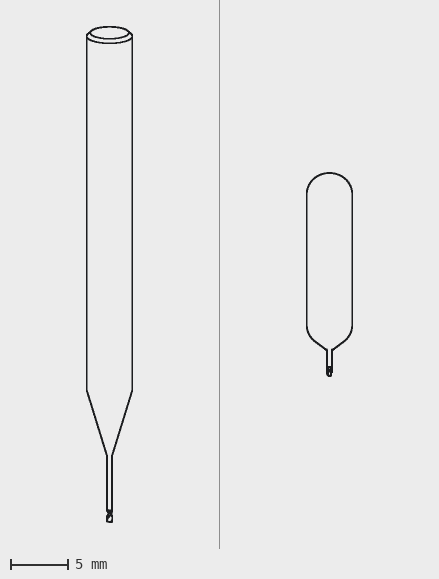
import cadquery as cq
import math

overall_length = 45.0
shank_diameter = 4.0
shank_chamfer = 0.3
cone_top_z = 12.1
neck_top_z = 6.05
neck_diameter = 0.45

cutter_length = 1.1
cutter_diameter = 0.5
web_thickness = 0.22
quarter_turn_rise = 0.55


def make_shank():
    """Chamfered shank, tapering cone and slender neck, revolved as one solid."""
    shank_radius = shank_diameter / 2
    neck_radius = neck_diameter / 2
    return (
        cq.Workplane("XZ")
        .moveTo(0, cutter_length)
        .lineTo(neck_radius, cutter_length)
        .lineTo(neck_radius, neck_top_z)
        .lineTo(shank_radius, cone_top_z)
        .lineTo(shank_radius, overall_length - shank_chamfer)
        .lineTo(shank_radius - shank_chamfer, overall_length)
        .lineTo(0, overall_length)
        .close()
        .revolve(360, (0, 0), (0, 1))
    )


def make_cutter():
    """Flat web with round lands, twisted upward as a right-hand helix."""
    radius = cutter_diameter / 2
    half_web = web_thickness / 2
    land_x = math.sqrt(radius**2 - half_web**2)
    twist = 90 * cutter_length / quarter_turn_rise
    return (
        cq.Workplane("XY")
        .moveTo(-land_x, -half_web)
        .lineTo(land_x, -half_web)
        .threePointArc((radius, 0), (land_x, half_web))
        .lineTo(-land_x, half_web)
        .threePointArc((-radius, 0), (-land_x, -half_web))
        .close()
        .twistExtrude(cutter_length, twist)
    )


shank = make_shank()
cutter = make_cutter()

result = cq.Compound.makeCompound([shank.val(), cutter.val()])